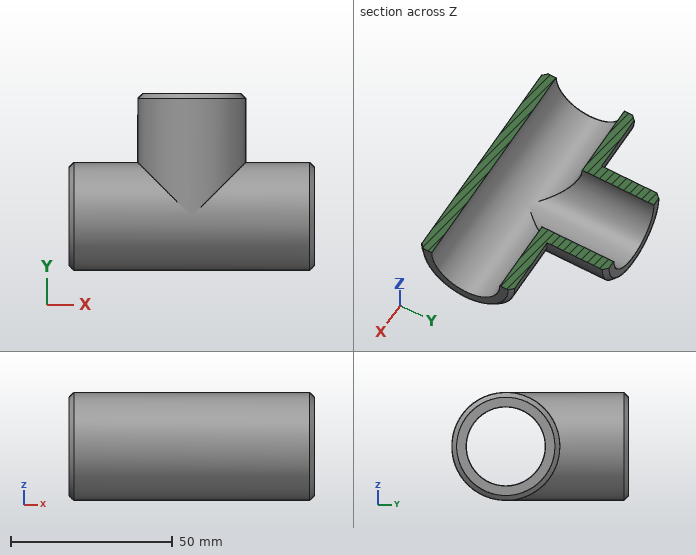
import cadquery as cq

run_length = 76.2
branch_length = run_length / 2
outer_diameter = 33.5
bore_diameter = 24.45
end_chamfer = 1.5


def run_cylinder(diameter):
    """Cylinder along X, centred on the origin."""
    return cq.Workplane("YZ").circle(diameter / 2).extrude(run_length / 2, both=True)


def branch_cylinder(diameter):
    """Cylinder from the run axis out along +Y."""
    return cq.Workplane("XZ").circle(diameter / 2).extrude(-branch_length)


run_body = run_cylinder(outer_diameter).faces("<X or >X").edges().chamfer(end_chamfer)
branch_body = branch_cylinder(outer_diameter).faces(">Y").edges().chamfer(end_chamfer)
body = run_body.union(branch_body)

result = body.cut(run_cylinder(bore_diameter)).cut(branch_cylinder(bore_diameter))